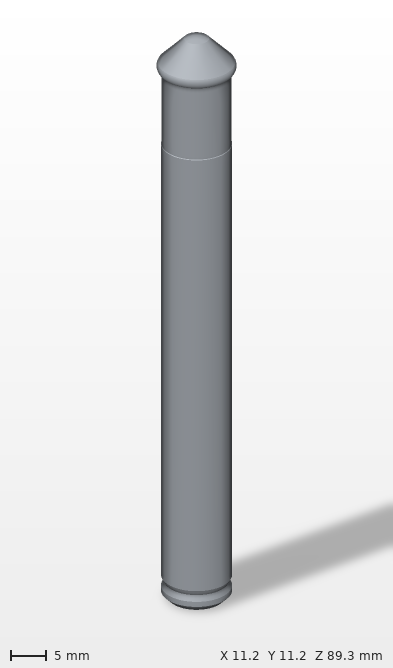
import cadquery as cq

length = 89.3
body_radius = 5.0
neck_radius = 4.9
rim_radius = 5.6
cone_base_radius = 5.45
tip_radius = 1.8

foot_chamfer = 1.0
groove_bottom_z = 1.8
groove_width = 1.7
groove_depth = 0.45
groove_top_z = groove_bottom_z + groove_width
groove_middle_z = groove_bottom_z + groove_width / 2

shoulder_z = 72.0
shoulder_chamfer = body_radius - neck_radius
rim_bottom_z = 83.5
cone_base_z = 85.1
rim_middle_z = 84.4
tip_height = 0.45
cone_top_z = length - tip_height

profile = (
    cq.Workplane("XZ")
    .lineTo(body_radius - foot_chamfer, 0)
    .lineTo(body_radius, foot_chamfer)
    .lineTo(body_radius, groove_bottom_z)
    .lineTo(body_radius - groove_depth, groove_middle_z)
    .lineTo(body_radius, groove_top_z)
    .lineTo(body_radius, shoulder_z)
    .lineTo(neck_radius, shoulder_z + shoulder_chamfer)
    .lineTo(neck_radius, rim_bottom_z)
    .threePointArc((rim_radius, rim_middle_z), (cone_base_radius, cone_base_z))
    .lineTo(tip_radius, cone_top_z)
)

dome_radius = (tip_radius**2 + tip_height**2) / (2 * tip_height)
profile = profile.radiusArc((0, length), -dome_radius).close()

result = profile.revolve(360, (0, 0, 0), (0, 1, 0))